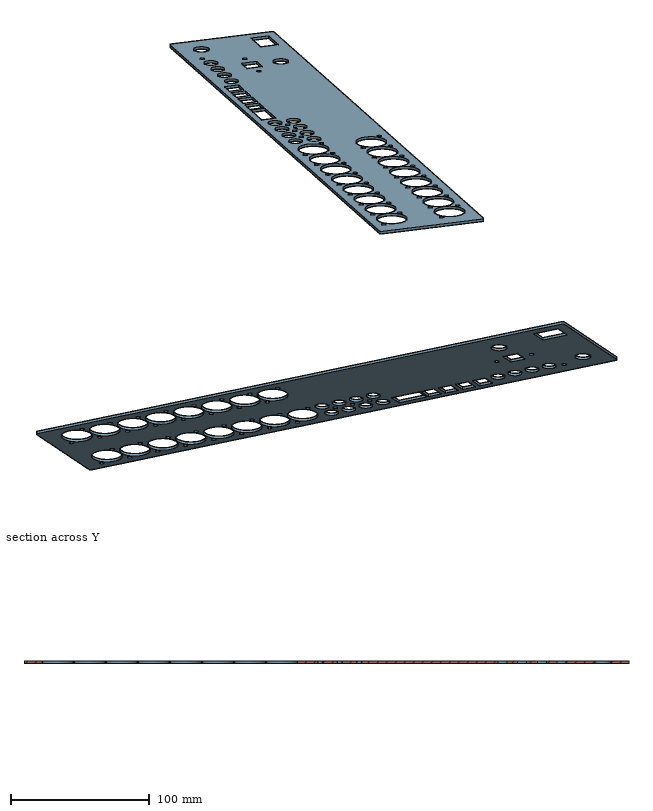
import cadquery as cq

length = 435.0
width = 80.0
thickness = 2.0
corner_radius = 1.7

row_offset = 22.0
middle_y = width / 2
lower_row_y = middle_y - row_offset
upper_row_y = middle_y + row_offset

screw_diameter = 3.2

connector_diameter = 22.0
connector_count = 8
connector_pitch = 23.0
connector_first_x = 249.5
connector_screw_spacing = 19.5

opening_diameter = 11.5
lower_opening_x = 18.5
socket_x = 63.0

socket_side = 11.7
socket_screw_offset = 14.5

switch_length = 20.0
switch_width = 13.5
switch_center = (18.3, 66.5)

small_count = 4
small_span = 42.0
small_pitch = small_span / (small_count - 1)

jack_diameter = 10.0
jack_first_x = 48.7
jack_y = 14.0
jack_screw_center = (38.0, 11.5)

port_length = 10.5
port_width = 11.0
port_y = 10.5
port_first_x = 105.5
wide_port_length = 22.5
wide_port_x = 166.0

block_first_x = 187.0
block_lower_y = 11.7
block_upper_y = block_lower_y + small_pitch


def line_of_points(first_x, y, pitch, count):
    """Evenly spaced points along X."""
    return [(first_x + i * pitch, y) for i in range(count)]


def cut_round(body, points, diameter):
    """Through holes at the given points."""
    tool = cq.Workplane("XY").pushPoints(points).circle(diameter / 2).extrude(thickness)
    return body.cut(tool)


def cut_rectangle(body, points, size_x, size_y):
    """Rectangular through openings centred on the given points."""
    tool = cq.Workplane("XY").pushPoints(points).rect(size_x, size_y).extrude(thickness)
    return body.cut(tool)


plate = cq.Workplane("XY").box(length, width, thickness, centered=False)
plate = plate.edges("|Z").fillet(corner_radius)

for row_y in (lower_row_y, upper_row_y):
    centers = line_of_points(connector_first_x, row_y, connector_pitch, connector_count)
    plate = cut_round(plate, centers, connector_diameter)
    for side in (-1, 1):
        shift = side * connector_screw_spacing / 2
        screws = [(x + shift, y - shift) for x, y in centers]
        plate = cut_round(plate, screws, screw_diameter)

plate = cut_round(plate, [(lower_opening_x, lower_row_y), (socket_x, upper_row_y)], opening_diameter)

plate = cut_rectangle(plate, [(socket_x, middle_y)], socket_side, socket_side)
socket_screws = [(socket_x + side * socket_screw_offset, middle_y) for side in (-1, 1)]
plate = cut_round(plate, socket_screws, screw_diameter)

plate = cut_rectangle(plate, [switch_center], switch_length, switch_width)

jacks = line_of_points(jack_first_x, jack_y, small_pitch, small_count)
plate = cut_round(plate, jacks, jack_diameter)
plate = cut_round(plate, [jack_screw_center], screw_diameter)

ports = line_of_points(port_first_x, port_y, small_pitch, small_count)
plate = cut_rectangle(plate, ports, port_length, port_width)
plate = cut_rectangle(plate, [(wide_port_x, port_y)], wide_port_length, port_width)

for row_y in (block_lower_y, block_upper_y):
    jacks = line_of_points(block_first_x, row_y, small_pitch, small_count)
    plate = cut_round(plate, jacks, jack_diameter)
block_screw_x = block_first_x + small_pitch / 2
block_screw_y = (block_lower_y + block_upper_y) / 2
block_screws = line_of_points(block_screw_x, block_screw_y, small_pitch, small_count - 1)
plate = cut_round(plate, block_screws, screw_diameter)

result = plate